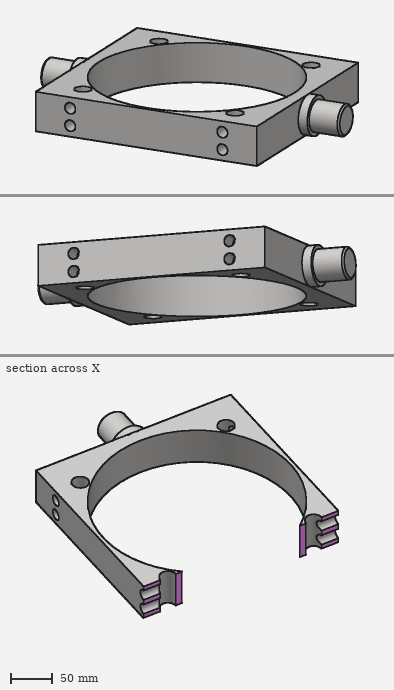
import cadquery as cq
import math

overall_length = 400.0
block_length = 296.0
block_width = 272.0
block_height = 50.0
bore_diameter = 262.0

bolt_circle_diameter = 288.0
bolt_hole_diameter = 21.0
bolt_offset = bolt_circle_diameter / 2 * math.cos(math.radians(45))

cross_hole_diameter = 14.0
cross_hole_spacing = 22.0
cross_hole_depth = block_width / 2 - bolt_offset

collar_diameter = block_height
collar_length = 12.0
pin_diameter = 40.0
pin_chamfer = 2.5
pin_length = (overall_length - block_length) / 2 - collar_length


def make_frame():
    """Rectangular block with the large bore and the corner bolt holes."""
    return (
        cq.Workplane("XY")
        .box(block_length, block_width, block_height)
        .faces(">Z").workplane()
        .hole(bore_diameter)
        .faces(">Z").workplane()
        .rect(2 * bolt_offset, 2 * bolt_offset, forConstruction=True)
        .vertices()
        .hole(bolt_hole_diameter)
    )


def make_trunnion():
    """Collar and chamfered pin pointing along +X from the block end."""
    collar = (
        cq.Workplane("YZ", origin=(block_length / 2, 0, 0))
        .circle(collar_diameter / 2)
        .extrude(collar_length)
    )
    pin = (
        cq.Workplane("YZ", origin=(block_length / 2 + collar_length, 0, 0))
        .circle(pin_diameter / 2)
        .extrude(pin_length)
        .faces(">X").chamfer(pin_chamfer)
    )
    return collar.union(pin)


def make_cross_holes():
    """Cutters from the -Y face inward to the bolt hole axes."""
    return (
        cq.Workplane("XZ", origin=(0, -block_width / 2, 0))
        .rect(2 * bolt_offset, cross_hole_spacing, forConstruction=True)
        .vertices()
        .circle(cross_hole_diameter / 2)
        .extrude(-cross_hole_depth)
    )


trunnion = make_trunnion()
cross_holes = make_cross_holes()
result = (
    make_frame()
    .union(trunnion)
    .union(trunnion.mirror("YZ"))
    .cut(cross_holes)
    .cut(cross_holes.mirror("XZ"))
)